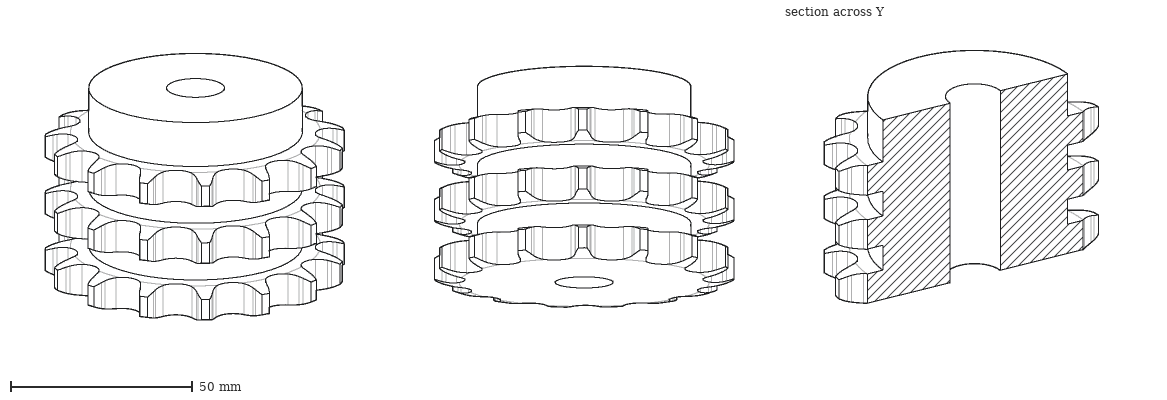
import cadquery as cq
import math

tooth_count = 15
chain_pitch = 15.9
roller_diameter = 10.2
seat_clearance = 0.05
tip_diameter = 83.0

row_count = 3
row_spacing = 16.55
row_thickness = 9.1

side_curve_start = 34.5
side_curve_radius = 16.0

hub_diameter = 59.0
bore_diameter = 16.0
total_height = 55.0

tip_radius = tip_diameter / 2
tooth_angle = 360.0 / tooth_count
pitch_radius = chain_pitch / (2 * math.sin(math.radians(tooth_angle / 2)))
first_gap_angle = -90.0 + tooth_angle / 2

seat_radius = roller_diameter / 2 + seat_clearance
seat_half_angle = 55.0 - 60.0 / tooth_count
working_sweep = 18.0 - 56.0 / tooth_count
working_center_offset = 0.8 * roller_diameter
working_radius = working_center_offset + seat_radius
straight_normal_angle = seat_half_angle + working_sweep
topping_center_offset = 1.4 * roller_diameter
topping_center_angle = 90.0 - tooth_angle / 2
topping_radius = (
    working_center_offset * math.cos(math.radians(working_sweep))
    + topping_center_offset * math.cos(math.radians(topping_center_angle - straight_normal_angle))
    - working_radius
)


def offset_point(origin, distance, angle):
    """Point at a distance and an angle in degrees from the origin point."""
    a = math.radians(angle)
    return (origin[0] + distance * math.cos(a), origin[1] + distance * math.sin(a))


def angle_between(origin, target):
    """Angle in degrees of the direction from the origin point to the target point."""
    return math.degrees(math.atan2(target[1] - origin[1], target[0] - origin[0]))


def flank_points(gap_angle, side):
    """Points from seat end to tooth tip along one side (+1 or -1) of a gap."""
    def direction(angle_from_inward):
        return gap_angle + 180.0 - side * angle_from_inward

    roller_center = offset_point((0, 0), pitch_radius, gap_angle)
    seat_end = offset_point(roller_center, seat_radius, direction(seat_half_angle))

    working_center = offset_point(roller_center, -working_center_offset, direction(seat_half_angle))
    working_middle_angle = seat_half_angle + working_sweep / 2
    working_middle = offset_point(working_center, working_radius, direction(working_middle_angle))
    working_end = offset_point(working_center, working_radius, direction(straight_normal_angle))

    topping_center = offset_point(roller_center, topping_center_offset, direction(topping_center_angle))
    straight_end = offset_point(topping_center, -topping_radius, direction(straight_normal_angle))

    center_distance = math.hypot(*topping_center)
    center_angle = angle_between((0, 0), topping_center)
    cos_tip = (
        (center_distance**2 + tip_radius**2 - topping_radius**2)
        / (2 * center_distance * tip_radius)
    )
    tip = offset_point((0, 0), tip_radius, center_angle - side * math.degrees(math.acos(cos_tip)))

    chord_middle = ((straight_end[0] + tip[0]) / 2, (straight_end[1] + tip[1]) / 2)
    bulge_angle = angle_between(topping_center, chord_middle)
    topping_middle = offset_point(topping_center, topping_radius, bulge_angle)
    return seat_end, working_middle, working_end, straight_end, topping_middle, tip


def toothed_plate():
    """Flat plate with the full tooth outline."""
    first_tip = flank_points(first_gap_angle, -1)[-1]
    outline = cq.Workplane("XY").moveTo(*first_tip)
    for i in range(tooth_count):
        gap_angle = first_gap_angle + i * tooth_angle
        gap_bottom = offset_point((0, 0), pitch_radius - seat_radius, gap_angle)
        tooth_tip = offset_point((0, 0), tip_radius, gap_angle + tooth_angle / 2)
        next_tip = flank_points(gap_angle + tooth_angle, -1)[-1]

        near_flank = flank_points(gap_angle, -1)
        seat_start, working_middle, working_end, straight_end, topping_middle, _ = near_flank
        outline = outline.threePointArc(topping_middle, straight_end)
        outline = outline.lineTo(*working_end)
        outline = outline.threePointArc(working_middle, seat_start)

        far_flank = flank_points(gap_angle, 1)
        seat_end, working_middle, working_end, straight_end, topping_middle, tip = far_flank
        outline = outline.threePointArc(gap_bottom, seat_end)
        outline = outline.threePointArc(working_middle, working_end)
        outline = outline.lineTo(*straight_end)
        outline = outline.threePointArc(topping_middle, tip)
        outline = outline.threePointArc(tooth_tip, next_tip)
    return outline.close().extrude(row_thickness)


def rounded_blank():
    """Disc whose rim curves inward on both sides, tangent to the flat faces."""
    curve_width = tip_radius - side_curve_start

    def side_drop(distance):
        return side_curve_radius - math.sqrt(side_curve_radius**2 - distance**2)

    rim_drop = side_drop(curve_width)
    middle_radius = side_curve_start + curve_width / 2
    middle_drop = side_drop(curve_width / 2)
    return (
        cq.Workplane("XZ")
        .lineTo(side_curve_start, 0)
        .threePointArc((middle_radius, middle_drop), (tip_radius, rim_drop))
        .lineTo(tip_radius, row_thickness - rim_drop)
        .threePointArc((middle_radius, row_thickness - middle_drop), (side_curve_start, row_thickness))
        .lineTo(0, row_thickness)
        .close()
        .revolve(360, (0, 0, 0), (0, 1, 0))
    )


tooth_row = toothed_plate().intersect(rounded_blank())
result = cq.Workplane("XY").circle(hub_diameter / 2).extrude(total_height)
for row in range(row_count):
    result = result.union(tooth_row.translate((0, 0, row * row_spacing)))

bore = cq.Workplane("XY").circle(bore_diameter / 2).extrude(total_height)
result = result.cut(bore)